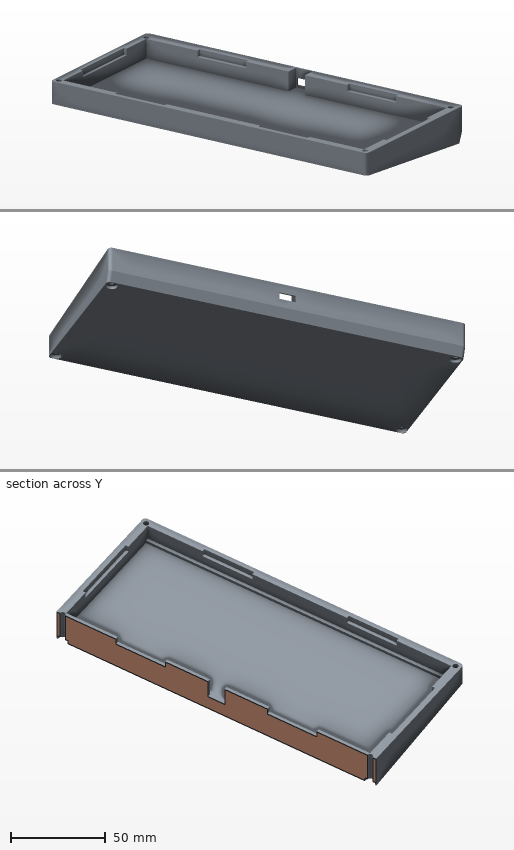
import cadquery as cq

length = 201.5
width = 90.7
front_height = 12.7
rear_height = 20.4
rear_face_height = 14.7
rear_bevel_run = 2.5
corner_radius = 2.0

half_length = length / 2
front_y = -width / 2
rear_y = width / 2

side_wall = 5.0
front_wall = 4.5
rear_wall = 8.0
cavity_depth = 11.0
ledge_width = 1.8
ledge_depth = 9.3

cavity_half_length = half_length - side_wall
cavity_front_y = front_y + front_wall
cavity_rear_y = rear_y - rear_wall

pocket_depth = 3.6
front_pocket_length = 31.5
front_pocket_x = 45.5
front_pocket_reach = 1.8
rear_pocket_length = 31.0
rear_pocket_x = 47.8
rear_pocket_reach = 2.5
side_pocket_length = 41.1
side_pocket_y = -1.8
side_pocket_reach = 1.8

notch_width = 10.5
notch_skin = 0.8
port_width = 9.3
port_top = 5.6
port_bottom = 9.7

hole_diameter = 3.2
counterbore_diameter = 6.2
front_hole_inset_x = 3.2
front_hole_inset_y = 3.2
front_counterbore_top = -10.5
rear_hole_inset_x = 3.8
rear_hole_inset_y = 6.2
rear_counterbore_top = -18.0


def block(x_range, y_range, z_range):
    """Axis-aligned box between the given limits."""
    (x0, x1), (y0, y1), (z0, z1) = x_range, y_range, z_range
    return cq.Workplane("XY").box(x1 - x0, y1 - y0, z1 - z0, centered=False).translate((x0, y0, z0))


def make_body():
    """Wedge with its upright corners and the ends of the rear bevel rounded."""
    side_profile = [
        (front_y, 0),
        (rear_y, 0),
        (rear_y, -rear_face_height),
        (rear_y - rear_bevel_run, -rear_height),
        (front_y, -front_height),
    ]
    wedge = cq.Workplane("YZ").polyline(side_profile).close().extrude(half_length, both=True)
    upright_edges = wedge.edges("|Z").vals()
    bevel_middle = (0, rear_y - rear_bevel_run / 2, -(rear_face_height + rear_height) / 2)
    bevel = wedge.faces(cq.selectors.NearestToPointSelector(bevel_middle))
    bevel_ends = bevel.edges("not |X").vals()
    return wedge.newObject(upright_edges + bevel_ends).fillet(corner_radius)


def make_cavity():
    """Main recess plus the shallower strip above the front ledge."""
    x_range = (-cavity_half_length, cavity_half_length)
    main = block(x_range, (cavity_front_y + ledge_width, cavity_rear_y), (-cavity_depth, 0))
    above_ledge = block(x_range, (cavity_front_y, cavity_rear_y), (-ledge_depth, 0))
    return main.union(above_ledge)


def make_pockets():
    """Mirrored pairs of pockets on the front, rear and side walls."""
    z_range = (-pocket_depth, 0)
    side_half = cavity_half_length + side_pocket_reach
    pockets = block(
        (-side_half, side_half),
        (side_pocket_y - side_pocket_length / 2, side_pocket_y + side_pocket_length / 2),
        z_range,
    )
    for side in (-1, 1):
        front_x = side * front_pocket_x
        front_pocket = block(
            (front_x - front_pocket_length / 2, front_x + front_pocket_length / 2),
            (cavity_front_y - front_pocket_reach, 0),
            z_range,
        )
        rear_x = side * rear_pocket_x
        rear_pocket = block(
            (rear_x - rear_pocket_length / 2, rear_x + rear_pocket_length / 2),
            (0, cavity_rear_y + rear_pocket_reach),
            z_range,
        )
        pockets = pockets.union(front_pocket).union(rear_pocket)
    return pockets


def make_notch():
    """Notch down to the cavity floor and the port through its outer skin."""
    notch = block((-notch_width / 2, notch_width / 2), (0, rear_y - notch_skin), (-cavity_depth, 0))
    port = block((-port_width / 2, port_width / 2), (0, rear_y), (-port_bottom, -port_top))
    return notch.union(port)


def make_screw_hole(x, y, counterbore_top):
    """Through hole with a counterbore open at the underside."""
    hole = cq.Workplane("XY").center(x, y).circle(hole_diameter / 2).extrude(-rear_height)
    counterbore = (
        cq.Workplane("XY", origin=(x, y, counterbore_top))
        .circle(counterbore_diameter / 2)
        .extrude(-rear_height - counterbore_top)
    )
    return hole.union(counterbore)


result = make_body().cut(make_cavity()).cut(make_pockets()).cut(make_notch())
for side in (-1, 1):
    front_hole_x = side * (half_length - front_hole_inset_x)
    rear_hole_x = side * (half_length - rear_hole_inset_x)
    result = result.cut(make_screw_hole(front_hole_x, front_y + front_hole_inset_y, front_counterbore_top))
    result = result.cut(make_screw_hole(rear_hole_x, rear_y - rear_hole_inset_y, rear_counterbore_top))